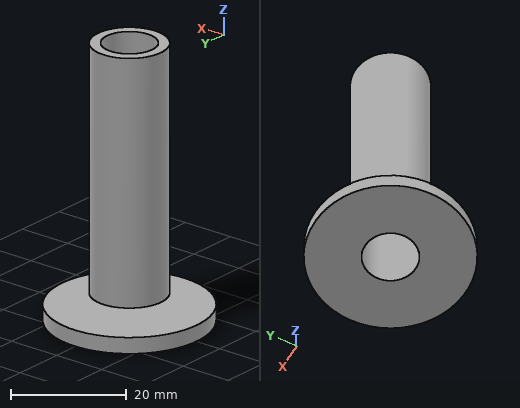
import cadquery as cq
import math

total_height = 52.0
flange_diameter = 30.0
tube_diameter = 14.0
bore_diameter = 10.0
rim_height = 3.05
cone_angle = 15.0

flange_radius = flange_diameter / 2
tube_radius = tube_diameter / 2
bore_radius = bore_diameter / 2
cone_height = (flange_radius - tube_radius) * math.tan(math.radians(cone_angle))
cone_top = rim_height + cone_height

half_section = (
    cq.Workplane("XZ")
    .moveTo(bore_radius, 0)
    .lineTo(flange_radius, 0)
    .lineTo(flange_radius, rim_height)
    .lineTo(tube_radius, cone_top)
    .lineTo(tube_radius, total_height)
    .lineTo(bore_radius, total_height)
    .close()
)

result = half_section.revolve(360, (0, 0, 0), (0, 1, 0))